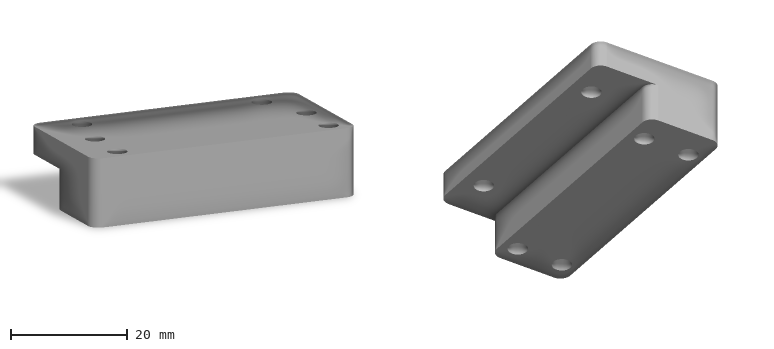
import cadquery as cq

width = 25.5
length = 50.0
height = 12.3
plate_thickness = 5.0
block_width = 15.0
corner_radius = 2.0

hole_diameter = 3.5
outer_hole_x = 4.0
outer_hole_inset = 8.0
block_hole_xs = (13.5, 22.5)
block_hole_front_inset = 6.0
block_hole_back_inset = 4.0


def rounded_slab(left, slab_width, bottom, thickness):
    """Full-length slab with rounded vertical corners."""
    slab = cq.Workplane("XY").box(slab_width, length, thickness, centered=False)
    return slab.edges("|Z").fillet(corner_radius).translate((left, 0, bottom))


block_height = height - plate_thickness
plate = rounded_slab(0, width, block_height, plate_thickness)
block = rounded_slab(width - block_width, block_width, 0, block_height)
body = plate.union(block)

hole_centers = [
    (outer_hole_x, outer_hole_inset),
    (outer_hole_x, length - outer_hole_inset),
]
for x in block_hole_xs:
    hole_centers.append((x, block_hole_front_inset))
    hole_centers.append((x, length - block_hole_back_inset))

holes = cq.Workplane("XY").pushPoints(hole_centers).circle(hole_diameter / 2).extrude(height)
result = body.cut(holes)